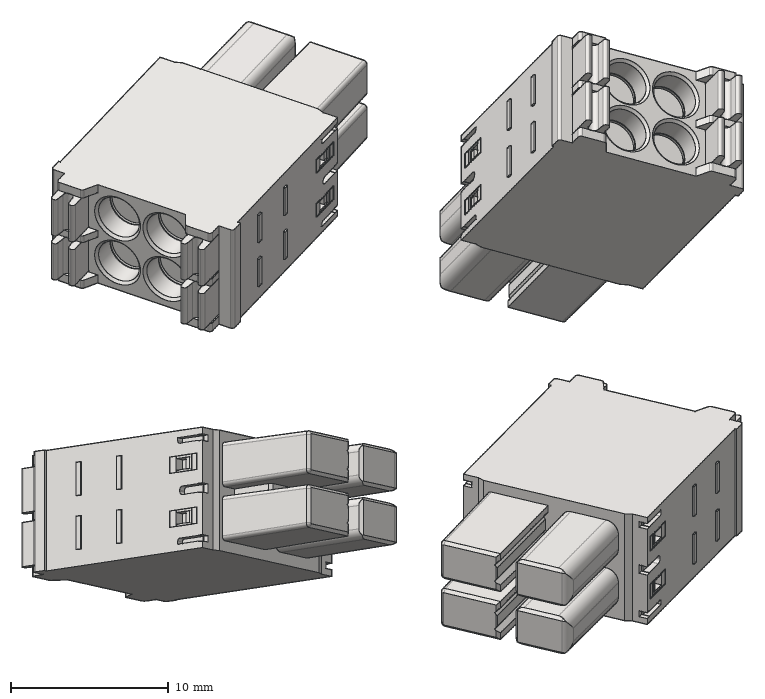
import cadquery as cq
import math


body_half_width = 6.5
body_length = 13.77
body_height = 7.8
half_height = body_height / 2
flange_left = 6.6
flange_right = 6.7
flange_length = 0.95
flange_corner = 0.2
rear_step = 0.18
rear_step_base_half = 5.45
rear_step_top_half = 4.98

pitch_x = 3.53
pitch_z = 3.49
rows = (-pitch_z / 2, pitch_z / 2)
columns = (-pitch_x / 2, pitch_x / 2)
sides = (-1, 1)

socket_radius = 1.5
socket_mouth = 0.18
socket_floor_step = 0.05
socket_depth = 1.84

web_length = 1.0
web_outer = 5.65
web_tip_inner = 3.76
web_root_inner = 3.21
web_corner = 0.2
outer_web_thickness = 0.65
middle_web_thickness = 0.53

tine_reach = 1.93
tine_outer = 5.6
fork_width = 1.72
fork_height = 2.87
tine_tip_width = 0.44
tine_tip_round = 0.2
fork_slot_radius = 0.35
fork_slot_centre = -1.2
fork_pocket_depth = 0.23
fork_root = 0.45

rib_positions = (3.65, 6.98)
rib_width = 0.37
rib_height = 2.15
rib_proud = 0.11

slit_depth = 0.45
outer_slit_front = 11.75
outer_slit_height = 0.37
outer_slit_z = 3.25
middle_slit_front = 11.9
middle_slit_height = 0.55
slit_mouth_length = 0.32
slit_mouth_flare = 0.05
slit_mouth_depth = 0.57
slit_round_ratio = 0.45

latch_front = 11.08
latch_rear = 13.29
latch_height = 1.05
latch_depth = 0.05
tab_front = 11.6
tab_rear = 12.85
tab_depth = 0.07
window_rear = 12.65
window_height = 0.75
window_depth = 0.69
window_step = 12.3
window_step_depth = 0.15

plug_root = body_length
plug_end = 21.02
plug_tip = 0.2
left_plug_outer = -4.55
left_plug_inner = -0.57
left_plug_height = 2.78
left_plug_draft = 0.3
left_plug_outer_round = 0.87
left_plug_inner_round = 0.6
left_plug_nose = 0.55
right_plug_inner = 0.41
right_plug_outer = 4.7
right_plug_height = 2.9
right_plug_draft = 0.5
right_plug_round = 0.28
hollow_half_height = 0.96
hollow_depth = 0.37
hollow_bottom_half = 0.6
hollow_ridge_half = 0.4
hollow_ridge_depth = 0.2

bridge_end = 16.95
bridge_width = 1.84
bridge_chamfer = 0.2


LONG_EDGES = "not(|X or |Z)"


def block(x0, x1, y0, y1, z0, z1):
    """Box between two opposite corners."""
    box = cq.Workplane("XY").box(x1 - x0, y1 - y0, z1 - z0, centered=False)
    return box.translate((x0, y0, z0))


def slab(sketch, z_centre, height):
    """Extrude an XY outline by the given height, centred on z_centre."""
    return sketch.extrude(height / 2, both=True).translate((0, 0, z_centre))


def side_pocket(side, depth, y0, y1, z_centre, height):
    """Cutter sunk by depth into one side wall."""
    x_faces = sorted((side * (body_half_width - depth), side * (body_half_width + 0.23)))
    return block(*x_faces, y0, y1, z_centre - height / 2, z_centre + height / 2)


def make_housing():
    body = block(-body_half_width, body_half_width, flange_length, body_length, -half_height, half_height)
    flange = block(-flange_left, flange_right, 0, flange_length, -half_height, half_height)
    flange = flange.edges("|Z and <Y").fillet(flange_corner)
    step = cq.Workplane("XY").polyline([
        (-rear_step_base_half, body_length),
        (rear_step_base_half, body_length),
        (rear_step_top_half, body_length + rear_step),
        (-rear_step_top_half, body_length + rear_step),
    ]).close()
    return body.union(flange).union(slab(step, 0, body_height))


def make_socket(x, z):
    """Round bore with a conical mouth and a small rim above its floor."""
    profile = cq.Workplane("XY").polyline([
        (0, 0),
        (socket_radius + socket_mouth, 0),
        (socket_radius, socket_mouth),
        (socket_radius, socket_depth - socket_mouth),
        (socket_radius - socket_floor_step, socket_depth - socket_mouth),
        (socket_radius - socket_floor_step, socket_depth),
        (0, socket_depth),
    ]).close()
    return profile.revolve(360, (0, 0), (0, 1)).translate((x, 0, z))


def make_guide_web(side, z, thickness):
    outline = cq.Workplane("XY").polyline([
        (side * web_outer, 0.23),
        (side * web_outer, -web_length),
        (side * web_tip_inner, -web_length),
        (side * web_root_inner, 0),
        (side * web_root_inner, 0.23),
    ]).close()
    return slab(outline, z, thickness).edges("|Z and <Y").fillet(web_corner)


def make_fork_pocket(side, z):
    """Shallow pocket between two guide webs, around the foot of a contact."""
    x_faces = sorted((side * web_outer, side * (tine_outer - fork_width)))
    z_faces = sorted((
        math.copysign(middle_web_thickness / 2, z),
        math.copysign(half_height - outer_web_thickness, z),
    ))
    return block(*x_faces, 0, fork_pocket_depth, *z_faces)


def make_fork(side, z):
    """Contact with two round-tipped tines around a round-bottomed slot that widens outwards."""
    middle = tine_outer - fork_width / 2
    half_tip_gap = fork_width / 2 - tine_tip_width
    fork = slab(
        cq.Workplane("XY").center(side * middle, (fork_root - tine_reach) / 2).rect(fork_width, fork_root + tine_reach),
        z, fork_height,
    )
    slot = (
        cq.Workplane("XY")
        .moveTo(side * middle - fork_slot_radius, fork_slot_centre)
        .threePointArc(
            (side * middle, fork_slot_centre + fork_slot_radius),
            (side * middle + fork_slot_radius, fork_slot_centre),
        )
        .lineTo(side * middle + half_tip_gap, -tine_reach)
        .lineTo(side * middle - half_tip_gap, -tine_reach)
        .close()
    )
    return fork.cut(slab(slot, z, fork_height)).edges("|Z and <Y").fillet(tine_tip_round)


def make_rib(side, y, z):
    x_faces = sorted((side * (body_half_width - 0.23), side * (body_half_width + rib_proud)))
    return block(*x_faces, y - rib_width / 2, y + rib_width / 2, z - rib_height / 2, z + rib_height / 2)


def make_slit(side, z, front, height, round_edges):
    """Slit with a flared, deeper mouth at the rear and the chosen front edges rounded."""
    slit = side_pocket(side, slit_depth, front, body_length, z, height)
    slit = slit.edges("|X and <Y").edges(round_edges).fillet(height * slit_round_ratio)
    mouth_front = body_length - slit_mouth_length
    mouth = side_pocket(side, slit_mouth_depth, mouth_front, body_length, z, height + slit_mouth_flare)
    return slit.union(mouth)


def make_latch_window(side, z):
    """Shallow pocket with a deeper, stepped window inside it."""
    cutter = side_pocket(side, latch_depth, latch_front, latch_rear, z, latch_height)
    cutter = cutter.union(side_pocket(side, tab_depth, tab_front, tab_rear, z, latch_height))
    cutter = cutter.union(side_pocket(side, window_step_depth, tab_front, window_rear, z, window_height))
    return cutter.union(side_pocket(side, window_depth, tab_front, window_step, z, window_height))


def drafted_plug(x0, x1, height, draft, z):
    """Rectangular plug that narrows by the draft angle from its root to its end."""
    root = cq.Plane(origin=((x0 + x1) / 2, plug_root, z), xDir=(1, 0, 0), normal=(0, 1, 0))
    return cq.Workplane(root).rect(x1 - x0, height).extrude(plug_end - plug_root, taper=draft)


def make_left_plug(z):
    """Plug with rounded flanks, a rounded nose on its outer side and bevels on its other end edges."""
    size = (left_plug_outer, left_plug_inner, left_plug_height, left_plug_draft, z)
    flanks = drafted_plug(*size).edges(LONG_EDGES).edges("<X").fillet(left_plug_outer_round)
    flanks = flanks.edges(LONG_EDGES).edges(">X").fillet(left_plug_inner_round)
    nose = drafted_plug(*size).faces(">Y").edges("<X").fillet(left_plug_nose)
    nose = nose.faces(">Y").edges("not <X").chamfer(plug_tip)
    return flanks.intersect(nose)


def make_right_plug(z):
    """Plug whose inner flank is hollowed along its whole length, with a low ridge in the middle."""
    plug = drafted_plug(right_plug_inner, right_plug_outer, right_plug_height, right_plug_draft, z)
    plug = plug.edges(LONG_EDGES).edges(">X").fillet(right_plug_round)
    plug = plug.faces(">Y").chamfer(plug_tip)
    upper_half = [
        (right_plug_inner, hollow_half_height),
        (right_plug_inner + hollow_depth, hollow_bottom_half),
        (right_plug_inner + hollow_ridge_depth, hollow_ridge_half),
    ]
    lower_half = [(x, -height) for x, height in reversed(upper_half)]
    opening = [(0, -hollow_half_height), (0, hollow_half_height)]
    hollow = cq.Workplane("XZ", origin=(0, plug_end, z)).polyline(upper_half + lower_half + opening).close()
    return plug.cut(hollow.extrude(plug_end - plug_root))


def make_bridge():
    middle = (right_plug_inner + right_plug_outer) / 2
    half_gap = pitch_z / 2 - right_plug_height * 0.45
    x_faces = (middle - bridge_width / 2, middle + bridge_width / 2)
    bridge = block(*x_faces, plug_root, bridge_end, -half_gap, half_gap)
    return bridge.edges("|Z and >Y").chamfer(bridge_chamfer)


result = make_housing()
outer_web_z = half_height - outer_web_thickness / 2

for z in rows:
    for x in columns:
        result = result.cut(make_socket(x, z))
    result = result.union(make_left_plug(z)).union(make_right_plug(z))
result = result.union(make_bridge())

for side in sides:
    for z in (-outer_web_z, outer_web_z):
        result = result.union(make_guide_web(side, z, outer_web_thickness))
    result = result.union(make_guide_web(side, 0, middle_web_thickness))
    for z, inner_edge in ((-outer_slit_z, ">Z"), (outer_slit_z, "<Z")):
        result = result.cut(make_slit(side, z, outer_slit_front, outer_slit_height, inner_edge))
    result = result.cut(make_slit(side, 0, middle_slit_front, middle_slit_height, "|X"))
    for z in rows:
        result = result.cut(make_fork_pocket(side, z)).union(make_fork(side, z)).cut(make_latch_window(side, z))
        for y in rib_positions:
            result = result.union(make_rib(side, y, z))